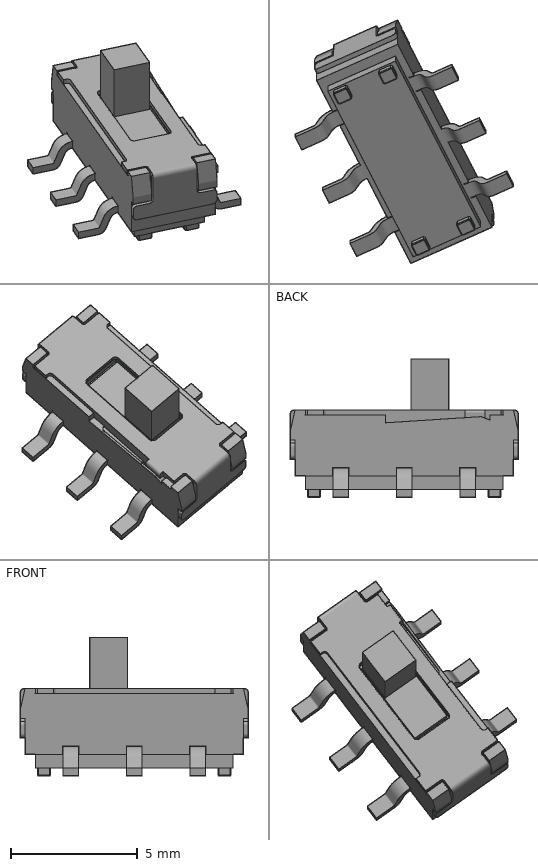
import cadquery as cq
import math

overall_length = 9.0
overall_depth = 6.85
overall_height = 5.45
sheet = 0.2

half_length = overall_length / 2
body_half_length = half_length - sheet
body_half_depth = 1.77
body_bottom = 0.85
top = 3.45
body_top = top - sheet
base_length = 7.785
base_depth = 2.95
base_bottom = 0.31

post_inner_x = 3.9
post_inner_y = 0.99
post_bottom = 2.25
post_taper_start = 2.56

cover_notch_x = 3.82
cover_notch_y = 0.93
cover_corner_radius = 0.09
cover_half_depth = body_half_depth - 0.01
relief_half_length = 3.19
relief_depth = 0.26
relief_y = body_half_depth - relief_depth
relief_radius = 0.135
flap_bottom = 1.49
flap_shoulder = 2.14
flap_radius = 0.16

window_length = 3.89
window_depth = 1.71
window_radius = 0.16
slider_length = 3.55
slider_depth = 1.575
opening_length = window_length + 0.04
opening_depth = window_depth + 0.04
opening_floor = body_top - 0.3
knob_size = 1.5
knob_center_x = -1.01

tab_start_x = -3.19
tab_end_x = -2.385
tab_outer_y = 1.68
tab_bend_radius = 0.135

wedge_start_x = -3.38
wedge_peak_x = -3.02
wedge_end_x = 0.73
wedge_start_depth = 0.21
wedge_peak_depth = 0.07
wedge_end_depth = 0.315

pocket_step_x = -2.08
pocket_end_x = 0.135
pocket_deep = 0.405
pocket_shallow = 0.34
pocket_end_fillet = 0.15

peg_length = 0.53
peg_depth = 0.6
peg_x = 3.555
peg_y = 0.99
peg_corner = 0.05
peg_foot_chamfer = 0.04

lead_pitch = 2.5
lead_width = 0.61
lead_thickness = 0.31
lead_top = body_bottom + lead_thickness
lead_root = 0.2
shoulder_radius = 0.65
foot_radius = 0.07
bend_angle = math.radians(67)
outer_slot_width = 0.67
slot_top = lead_top + 0.03


def box(x0, x1, y0, y1, z0, z1):
    return cq.Workplane("XY").box(x1 - x0, y1 - y0, z1 - z0, centered=False).translate((x0, y0, z0))


def centered_box(length, depth, z0, z1):
    return box(-length / 2, length / 2, -depth / 2, depth / 2, z0, z1)


def four_corners(solid):
    """Copy a solid from the +X +Y corner to all four corners."""
    pair = solid.union(solid.mirror("YZ"))
    return pair.union(pair.mirror("XZ"))


def corner_post():
    outline = [
        (post_inner_x, post_bottom),
        (half_length, post_bottom),
        (half_length, post_taper_start),
        (body_half_length, top),
        (post_inner_x, top),
    ]
    post = cq.Workplane("XZ").polyline(outline).close().extrude(-(body_half_depth - post_inner_y))
    return post.translate((0, post_inner_y, 0))


def cover_plate():
    """Top sheet with cleared corners, relieved long edges and the knob window."""
    plate = centered_box(overall_length, 2 * cover_half_depth, body_top, top)
    clearance = box(cover_notch_x, half_length, cover_notch_y, body_half_depth, body_top, top)
    clearance = clearance.edges("|Z and <X and <Y").fillet(cover_corner_radius)
    relief = box(-relief_half_length, relief_half_length, relief_y, body_half_depth, body_top, top)
    relief = relief.edges("|Z and <Y").fillet(relief_radius)
    rear_left = box(-cover_notch_x, 0, relief_y, body_half_depth, body_top, top)
    window = centered_box(window_length, window_depth, body_top, top).edges("|Z").fillet(window_radius)
    plate = plate.cut(four_corners(clearance))
    return plate.cut(relief).cut(relief.mirror("XZ")).cut(rear_left).cut(window)


def end_flap():
    """T-shaped flap on the +X end; its foot spans the full depth of the cover."""
    foot = box(body_half_length, half_length, -cover_half_depth, cover_half_depth, flap_bottom, flap_shoulder)
    foot = foot.edges("|X").fillet(flap_radius)
    neck_bottom = (flap_bottom + flap_shoulder) / 2
    neck = box(body_half_length, half_length, -cover_notch_y, cover_notch_y, neck_bottom, top)
    flap = foot.union(neck)
    margin = 0.045
    inner_corners = cq.selectors.BoxSelector(
        (body_half_length - margin, -cover_notch_y - margin, flap_shoulder - margin),
        (half_length + margin, cover_notch_y + margin, flap_shoulder + margin),
    )
    return flap.edges("|X").edges(inner_corners).fillet(flap_radius)


def cover():
    """Sheet cover with both end flaps, the bend radius equal to the sheet thickness."""
    flap = end_flap()
    sheet_metal = cover_plate().union(flap).union(flap.mirror("YZ")).clean()
    sheet_metal = sheet_metal.edges("|Y and >Z and (<X or >X)").fillet(sheet)
    return sheet_metal.union(rear_tab())


def rear_tab():
    """Tab bent down from the rear edge of the cover into the pocket."""
    tab = box(tab_start_x, tab_end_x, relief_y - sheet, tab_outer_y, body_top - pocket_deep, top)
    return tab.edges("|X and >Y and >Z").fillet(tab_bend_radius)


def wedge_notch():
    """Rear notch whose floor rises to a peak and then falls away gently."""
    outline = [
        (wedge_start_x, body_top),
        (wedge_start_x, body_top - wedge_start_depth),
        (wedge_peak_x, body_top - wedge_peak_depth),
        (wedge_end_x, body_top - wedge_end_depth),
        (wedge_end_x, body_top),
    ]
    notch = cq.Workplane("XZ").polyline(outline).close().extrude(-relief_depth)
    return notch.translate((0, relief_y, 0))


def rear_pocket():
    """Pocket with a stepped floor and a round right end."""
    deep = box(tab_start_x, pocket_step_x, relief_y, tab_outer_y, body_top - pocket_deep, body_top)
    shallow = box(pocket_step_x, pocket_end_x, relief_y, tab_outer_y, body_top - pocket_shallow, body_top)
    shallow = shallow.edges("|Z and >X and >Y").fillet(pocket_end_fillet)
    return deep.union(shallow)


def peg():
    block = centered_box(peg_length, peg_depth, 0, base_bottom)
    return block.edges("|Z").chamfer(peg_corner).faces("<Z").chamfer(peg_foot_chamfer)


def lead():
    """One lead on the +Y side: two tangent bends joined by a straight slope."""
    sin_a = math.sin(bend_angle)
    cos_a = math.cos(bend_angle)
    upper_center = (body_half_depth, lead_top - shoulder_radius)
    lower_center_z = lead_thickness + foot_radius
    slope_drop = upper_center[1] + (shoulder_radius + foot_radius) * cos_a - lower_center_z
    slope_run = slope_drop / math.tan(bend_angle)
    lower_center = (upper_center[0] + (shoulder_radius + foot_radius) * sin_a + slope_run, lower_center_z)

    def upper(radius, angle):
        return (upper_center[0] + radius * math.sin(angle), upper_center[1] + radius * math.cos(angle))

    def lower(radius, angle):
        return (lower_center[0] - radius * math.sin(angle), lower_center[1] - radius * math.cos(angle))

    half_bend = bend_angle / 2
    under_radius = shoulder_radius - lead_thickness
    sole_radius = foot_radius + lead_thickness
    root_y = body_half_depth - lead_root
    tip_y = overall_depth / 2
    profile = (
        cq.Workplane("YZ")
        .moveTo(root_y, lead_top)
        .lineTo(*upper(shoulder_radius, 0))
        .threePointArc(upper(shoulder_radius, half_bend), upper(shoulder_radius, bend_angle))
        .lineTo(*lower(foot_radius, bend_angle))
        .threePointArc(lower(foot_radius, half_bend), lower(foot_radius, 0))
        .lineTo(tip_y, lead_thickness)
        .lineTo(tip_y, 0)
        .lineTo(*lower(sole_radius, 0))
        .threePointArc(lower(sole_radius, half_bend), lower(sole_radius, bend_angle))
        .lineTo(*upper(under_radius, bend_angle))
        .threePointArc(upper(under_radius, half_bend), upper(under_radius, 0))
        .lineTo(root_y, body_bottom)
        .close()
    )
    return profile.extrude(lead_width / 2, both=True)


def lead_slot(column):
    """Clearance in the housing wall above a lead; the outer ones also clear its sides."""
    width = outer_slot_width if column else lead_width
    slot = box(-width / 2, width / 2, body_half_depth - lead_root, body_half_depth, body_bottom, slot_top)
    return slot.translate((column * lead_pitch, 0, 0))


housing = centered_box(2 * body_half_length, 2 * body_half_depth, body_bottom, body_top)
housing = housing.cut(centered_box(opening_length, opening_depth, opening_floor, body_top))
housing = housing.union(centered_box(slider_length, slider_depth, opening_floor, body_top))
housing = housing.cut(wedge_notch()).cut(rear_pocket())
for column in (-1, 0, 1):
    rear_slot = lead_slot(column)
    housing = housing.cut(rear_slot).cut(rear_slot.mirror("XZ"))
housing = housing.union(centered_box(base_length, base_depth, base_bottom, body_bottom))
housing = housing.union(four_corners(corner_post()))

result = housing.union(cover())

knob = centered_box(knob_size, knob_size, body_top, overall_height)
result = result.union(knob.translate((knob_center_x, 0, 0)))

result = result.union(four_corners(peg().translate((peg_x, peg_y, 0))))

for column in (-1, 0, 1):
    rear_lead = lead().translate((column * lead_pitch, 0, 0))
    result = result.union(rear_lead).union(rear_lead.mirror("XZ"))